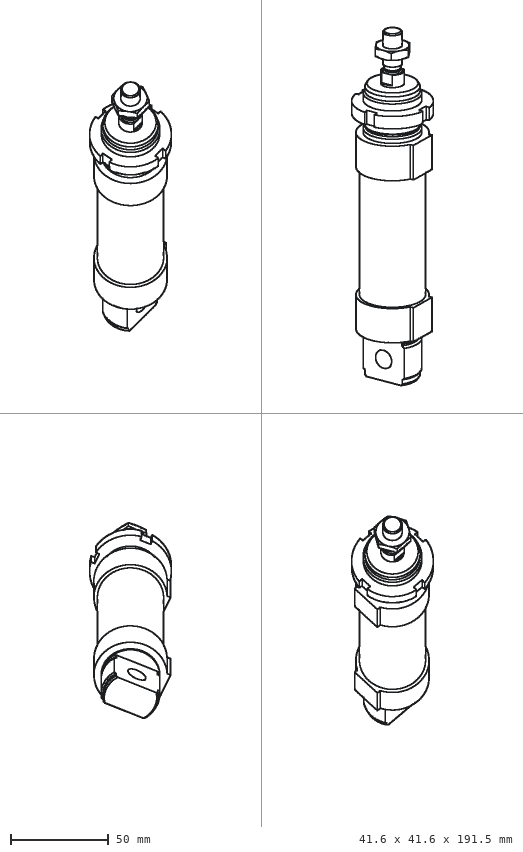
import cadquery as cq
import math


TOTAL_HEIGHT = 191.5
REAR_CAP_BOTTOM = 26.2
REAR_CAP_TOP = 45.2
FRONT_CAP_BOTTOM = 116.0
FRONT_CAP_TOP = 135.2
NECK_TOP = 162.4

TUBE_DIAMETER = 33.9
CAP_DIAMETER = 37.5
THREAD_DIAMETER = 30.0
GROOVE_DIAMETER = 27.8
SPIGOT_DIAMETER = 28.3
NECK_END_DIAMETER = 26.2

NECK_GROOVE_BOTTOM = 137.5
NECK_GROOVE_TOP = 140.4
NECK_GROOVE_BEVEL = 1.0
NECK_THREAD_TOP = 157.0
NECK_BEVEL_TOP = 158.2
NECK_END_BEVEL_BOTTOM = 160.7

PAD_WIDTH = 16.9

CLEVIS_THICKNESS = 16.0
CLEVIS_TOP = 25.0
CLEVIS_GROOVE_TOP = 24.0
CLEVIS_GROOVE_BOTTOM = 21.0
CLEVIS_GROOVE_UPPER_BEVEL = 0.8
CLEVIS_GROOVE_LOWER_BEVEL = 1.1
CLEVIS_STEP_TOP = 4.5
CLEVIS_STEP_BOTTOM = 3.5
CLEVIS_END_DIAMETER = 26.8
CLEVIS_END_BEVEL = 1.1
PIVOT_HOLE_DIAMETER = 10.0
PIVOT_HOLE_HEIGHT = 12.0

ROD_DIAMETER = 12.0
ROD_FLATS_WIDTH = 10.0
ROD_FLATS_BOTTOM = 163.5
ROD_SHOULDER = 169.3
ROD_THREAD_DIAMETER = 10.0
ROD_THREAD_BOTTOM = 173.3
ROD_TIP_DIAMETER = 8.6
ROD_TIP_BEVEL = 0.8
ROD_RELIEF_DIAMETER = 8.5
ROD_RELIEF_TOP = 171.0
ROD_RELIEF_BOTTOM = 170.0

RING_NUT_DIAMETER = 42.0
RING_NUT_FACE_DIAMETER = 36.0
RING_NUT_BOTTOM = 145.2
RING_NUT_HEIGHT = 8.0
RING_NUT_BEVEL = 0.5
RING_NUT_SLOT_WIDTH = 6.0
RING_NUT_SLOT_FLOOR = 18.8
RING_NUT_SLOTS = 4

HEX_NUT_FLATS_WIDTH = 17.0
HEX_NUT_BOTTOM = 178.5
HEX_NUT_HEIGHT = 5.0
HEX_NUT_BEVEL = 0.5
HEX_HALF_ANGLE = 30


def revolved(profile):
    """Solid of revolution about Z from (diameter, height) pairs listed bottom to top."""
    outline = [(diameter / 2, height) for diameter, height in profile]
    bottom = profile[0][1]
    top = profile[-1][1]
    return cq.Workplane("XZ").polyline([(0, bottom), *outline, (0, top)]).close().revolve()


def bored(body, diameter, bottom, height):
    """Bore a plain hole along Z through a nut."""
    return body.cut(cq.Workplane("XY").workplane(offset=bottom).circle(diameter / 2).extrude(height))


def make_clevis():
    """Grooved round stub below the rear cap, cut to two flats facing X, with a pivot hole along X."""
    clevis = revolved([
        (CLEVIS_END_DIAMETER, 0),
        (SPIGOT_DIAMETER, CLEVIS_END_BEVEL),
        (SPIGOT_DIAMETER, CLEVIS_STEP_BOTTOM),
        (THREAD_DIAMETER, CLEVIS_STEP_TOP),
        (THREAD_DIAMETER, CLEVIS_GROOVE_BOTTOM),
        (GROOVE_DIAMETER, CLEVIS_GROOVE_BOTTOM + CLEVIS_GROOVE_LOWER_BEVEL),
        (GROOVE_DIAMETER, CLEVIS_GROOVE_TOP - CLEVIS_GROOVE_UPPER_BEVEL),
        (THREAD_DIAMETER, CLEVIS_GROOVE_TOP),
        (THREAD_DIAMETER, REAR_CAP_BOTTOM),
    ])
    tongue = cq.Workplane("XY").box(
        CLEVIS_THICKNESS, THREAD_DIAMETER, CLEVIS_TOP, centered=(True, True, False)
    )
    collar = (
        cq.Workplane("XY").workplane(offset=CLEVIS_TOP)
        .circle(THREAD_DIAMETER / 2).extrude(REAR_CAP_BOTTOM - CLEVIS_TOP)
    )
    pivot_hole = (
        cq.Workplane("YZ").center(0, PIVOT_HOLE_HEIGHT)
        .circle(PIVOT_HOLE_DIAMETER / 2).extrude(CLEVIS_THICKNESS, both=True)
    )
    return clevis.intersect(tongue.union(collar)).cut(pivot_hole)


def make_cap(bottom, top):
    """Round end cap with a flat port pad on its +Y side."""
    plane = cq.Workplane("XY").workplane(offset=bottom)
    barrel = plane.circle(CAP_DIAMETER / 2).extrude(top - bottom)
    pad = plane.center(0, CAP_DIAMETER / 4).rect(PAD_WIDTH, CAP_DIAMETER / 2).extrude(top - bottom)
    return barrel.union(pad)


def make_neck():
    """Stepped and grooved neck that carries the ring nut."""
    return revolved([
        (THREAD_DIAMETER, FRONT_CAP_TOP),
        (THREAD_DIAMETER, NECK_GROOVE_BOTTOM),
        (GROOVE_DIAMETER, NECK_GROOVE_BOTTOM + NECK_GROOVE_BEVEL),
        (GROOVE_DIAMETER, NECK_GROOVE_TOP - NECK_GROOVE_BEVEL),
        (THREAD_DIAMETER, NECK_GROOVE_TOP),
        (THREAD_DIAMETER, NECK_THREAD_TOP),
        (SPIGOT_DIAMETER, NECK_BEVEL_TOP),
        (SPIGOT_DIAMETER, NECK_END_BEVEL_BOTTOM),
        (NECK_END_DIAMETER, NECK_TOP),
    ])


def make_housing():
    """Clevis, both caps, tube and neck as one solid."""
    tube = (
        cq.Workplane("XY").workplane(offset=REAR_CAP_TOP)
        .circle(TUBE_DIAMETER / 2).extrude(FRONT_CAP_BOTTOM - REAR_CAP_TOP)
    )
    rear_cap = make_cap(REAR_CAP_BOTTOM, REAR_CAP_TOP)
    front_cap = make_cap(FRONT_CAP_BOTTOM, FRONT_CAP_TOP)
    return make_clevis().union(rear_cap).union(tube).union(front_cap).union(make_neck())


def make_piston_rod():
    """Rod standing on the neck, with wrench flats facing X and a relieved thread."""
    shank = revolved([(ROD_DIAMETER, NECK_TOP), (ROD_DIAMETER, ROD_SHOULDER)])
    flats_height = ROD_SHOULDER - ROD_FLATS_BOTTOM
    flats_plane = cq.Workplane("XY").workplane(offset=ROD_FLATS_BOTTOM)
    between_flats = flats_plane.rect(ROD_FLATS_WIDTH, ROD_DIAMETER).extrude(flats_height)
    outside_flats = flats_plane.rect(ROD_DIAMETER, ROD_DIAMETER).extrude(flats_height).cut(between_flats)
    threaded_end = revolved([
        (ROD_THREAD_DIAMETER, ROD_SHOULDER),
        (ROD_RELIEF_DIAMETER, ROD_RELIEF_BOTTOM),
        (ROD_RELIEF_DIAMETER, ROD_RELIEF_TOP),
        (ROD_THREAD_DIAMETER, ROD_THREAD_BOTTOM),
        (ROD_THREAD_DIAMETER, TOTAL_HEIGHT - ROD_TIP_BEVEL),
        (ROD_TIP_DIAMETER, TOTAL_HEIGHT),
    ])
    return shank.cut(outside_flats).union(threaded_end)


def make_ring_nut():
    """Round nut with bevelled rims and slots facing X and Y."""
    top = RING_NUT_BOTTOM + RING_NUT_HEIGHT
    nut = revolved([
        (RING_NUT_FACE_DIAMETER, RING_NUT_BOTTOM),
        (RING_NUT_DIAMETER, RING_NUT_BOTTOM + RING_NUT_BEVEL),
        (RING_NUT_DIAMETER, top - RING_NUT_BEVEL),
        (RING_NUT_FACE_DIAMETER, top),
    ])
    slot_length = RING_NUT_DIAMETER / 2
    slot = (
        cq.Workplane("XY").workplane(offset=RING_NUT_BOTTOM)
        .center(RING_NUT_SLOT_FLOOR + slot_length / 2, 0)
        .rect(slot_length, RING_NUT_SLOT_WIDTH).extrude(RING_NUT_HEIGHT)
    )
    for index in range(RING_NUT_SLOTS):
        nut = nut.cut(slot.rotate((0, 0, 0), (0, 0, 1), index * 360 / RING_NUT_SLOTS))
    return bored(nut, THREAD_DIAMETER, RING_NUT_BOTTOM, RING_NUT_HEIGHT)


def make_hex_nut():
    """Hexagonal nut with flats facing X and its corners turned off at both ends."""
    corner_diameter = HEX_NUT_FLATS_WIDTH / math.cos(math.radians(HEX_HALF_ANGLE))
    top = HEX_NUT_BOTTOM + HEX_NUT_HEIGHT
    prism = (
        cq.Workplane("XY").workplane(offset=HEX_NUT_BOTTOM)
        .polygon(6, corner_diameter).extrude(HEX_NUT_HEIGHT)
        .rotate((0, 0, 0), (0, 0, 1), HEX_HALF_ANGLE)
    )
    corner_turning = revolved([
        (HEX_NUT_FLATS_WIDTH, HEX_NUT_BOTTOM),
        (corner_diameter, HEX_NUT_BOTTOM + HEX_NUT_BEVEL),
        (corner_diameter, top - HEX_NUT_BEVEL),
        (HEX_NUT_FLATS_WIDTH, top),
    ])
    nut = prism.intersect(corner_turning)
    return bored(nut, ROD_THREAD_DIAMETER, HEX_NUT_BOTTOM, HEX_NUT_HEIGHT)


housing = make_housing()
piston_rod = make_piston_rod()
ring_nut = make_ring_nut()
hex_nut = make_hex_nut()

result = cq.Compound.makeCompound([housing.val(), piston_rod.val(), ring_nut.val(), hex_nut.val()])